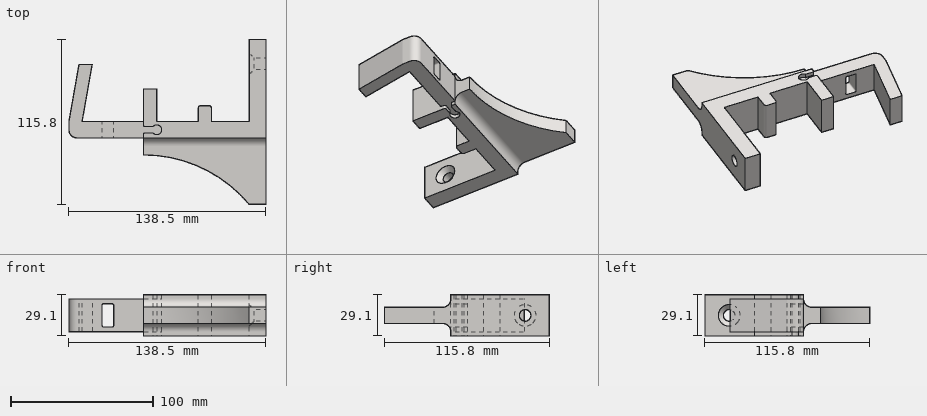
import cadquery as cq
import math

total_length = 138.5
bracket_start = 52.4
bar_depth = 11.6
prong_thickness = 9.4

bracket_height = 29.1
wall_thickness = 11.9
wall_end = 69.3
post_end = 34.6
stub_start = 90.9
stub_end = 22.9
stub_fillet = 2.0

web_height = 11.5
web_fillet = 5.8
web_narrow_depth = 11.9
web_wide_depth = 46.5

screw_hole_y = 52.2
screw_hole_diameter = 8.0
countersink_diameter = 15.2
countersink_angle = 90.0

arm_height = web_height + 2 * web_fillet
finger_end = 51.7
finger_angle = 10.0
arm_corner_radius = 5.8
window_start = 23.4
window_width = 8.0
window_height = 16.2
window_fillet = 1.0

key_y = bar_depth / 2
neck_width = 4.5
key_diameter = 6.9
key_x = bracket_start + prong_thickness
mouth_radius = 1.1


def centred_extrusion(sketch, height):
    return sketch.extrude(height / 2, both=True)


def block(x_min, x_max, y_min, y_max, height):
    return cq.Workplane("XY").box(
        x_max - x_min, y_max - y_min, height, centered=False
    ).translate((x_min, y_min, -height / 2))


def make_key(height):
    """Tongue with a round head and a neck that flares at the bracket face."""
    head = centred_extrusion(cq.Workplane("XY").center(key_x, key_y).circle(key_diameter / 2), height)
    neck_top = key_y + neck_width / 2
    neck_bottom = key_y - neck_width / 2
    flare_end = bracket_start + mouth_radius
    arc_inset = mouth_radius * (1 - math.sqrt(0.5))
    neck = (
        cq.Workplane("XY")
        .moveTo(bracket_start, neck_bottom - mouth_radius)
        .threePointArc((bracket_start + arc_inset, neck_bottom - arc_inset), (flare_end, neck_bottom))
        .lineTo(key_x, neck_bottom)
        .lineTo(key_x, neck_top)
        .lineTo(flare_end, neck_top)
        .threePointArc(
            (bracket_start + arc_inset, neck_top + arc_inset),
            (bracket_start, neck_top + mouth_radius),
        )
        .close()
    )
    return head.union(centred_extrusion(neck, height))


def make_web():
    """Web with a concave circular edge that starts parallel to the bar."""
    arc_run = total_length - wall_thickness - bracket_start
    arc_drop = web_wide_depth - web_narrow_depth
    arc_radius = (arc_run**2 + arc_drop**2) / (2 * arc_drop)
    half_sweep = math.asin(arc_run / arc_radius) / 2
    arc_middle = (
        bracket_start + arc_radius * math.sin(half_sweep),
        -web_narrow_depth - arc_radius * (1 - math.cos(half_sweep)),
    )
    outline = (
        cq.Workplane("XY")
        .moveTo(bracket_start, 0)
        .lineTo(bracket_start, -web_narrow_depth)
        .threePointArc(arc_middle, (total_length - wall_thickness, -web_wide_depth))
        .lineTo(total_length, -web_wide_depth)
        .lineTo(total_length, 0)
        .close()
    )
    return centred_extrusion(outline, web_height)


def make_bracket():
    bar = block(bracket_start, total_length, 0, bar_depth, bracket_height)
    wall = block(total_length - wall_thickness, total_length, 0, wall_end, bracket_height)
    post = block(bracket_start, bracket_start + prong_thickness, 0, post_end, bracket_height)
    stub = block(stub_start, stub_start + prong_thickness, 0, stub_end, bracket_height)
    stub = stub.faces(">Y").edges("|Z").fillet(stub_fillet)
    body = bar.union(wall).union(post).union(stub).union(make_web())

    root_edges = cq.selectors.BoxSelector(
        (bracket_start, -web_fillet / 2, -web_height),
        (total_length, web_fillet / 2, web_height),
    )
    body = body.edges("|X").edges(root_edges).fillet(web_fillet)

    screw_hole = (
        cq.Workplane("YZ", origin=(total_length - wall_thickness, screw_hole_y, 0))
        .circle(screw_hole_diameter / 2)
        .extrude(wall_thickness)
    )
    countersink_depth = (countersink_diameter - screw_hole_diameter) / 2 / math.tan(
        math.radians(countersink_angle / 2)
    )
    countersink = cq.Workplane(
        cq.Solid.makeCone(
            countersink_diameter / 2,
            screw_hole_diameter / 2,
            countersink_depth,
            pnt=cq.Vector(total_length - wall_thickness, screw_hole_y, 0),
            dir=cq.Vector(1, 0, 0),
        )
    )
    return body.cut(screw_hole).cut(countersink).cut(make_key(bracket_height))


def make_arm():
    """Bar with a leaning finger at its free end and a keyed tongue at the other."""
    finger_lean = (finger_end - bar_depth) * math.tan(math.radians(finger_angle))
    outline = (
        cq.Workplane("XY")
        .polyline([
            (0, 0),
            (bracket_start, 0),
            (bracket_start, bar_depth),
            (prong_thickness, bar_depth),
            (prong_thickness + finger_lean, finger_end),
            (finger_lean, finger_end),
            (0, bar_depth),
        ])
        .close()
    )
    body = centred_extrusion(outline, arm_height)
    body = body.edges(cq.selectors.NearestToPointSelector((0, 0, 0))).fillet(arm_corner_radius)

    window = block(window_start, window_start + window_width, 0, bar_depth, window_height)
    window = window.edges("|Y").fillet(window_fillet)
    return body.cut(window).union(make_key(arm_height))


bracket = make_bracket()
arm = make_arm()
result = cq.Compound.makeCompound([bracket.val(), arm.val()])